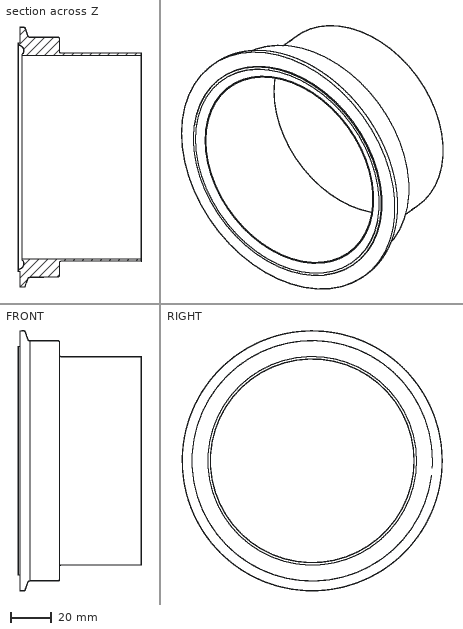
import cadquery as cq

length = 61.5
flange_face = 0.8
flange_rim_end = 3.4
collar_start = 5.1
collar_end = 20.7

flange_radius = 65.0
collar_radius = 60.0
tube_radius = 52.1
bore_radius = 50.8
lip_outer_radius = 57.2
groove_outer_radius = 55.9
groove_inner_radius = 51.4

edge_fillet = 0.8
root_fillet = 0.6
flange_root_fillet = 1.2

groove_floor = 2.7
groove_floor_radius = 53.0
bore_rim = 1.8


def ring_corner(body, x, radius, fillet):
    """Round the circular edge at the given axial position and radius."""
    margin = 0.06
    corner = cq.selectors.BoxSelector(
        (x - margin, -radius - margin, -radius - margin),
        (x + margin, radius + margin, radius + margin),
        boundingbox=True,
    )
    largest = cq.selectors.RadiusNthSelector(-1)
    ring = body.edges("%CIRCLE").edges(corner).edges(largest)
    return body.newObject(ring.vals()).fillet(fillet)


def make_ferrule():
    """Revolve the wall section, with the gasket groove in its sealing lip."""
    profile = (
        cq.Workplane("XY")
        .moveTo(bore_rim, bore_radius)
        .lineTo(bore_rim, groove_inner_radius)
        .threePointArc((groove_floor, groove_floor_radius), (0, groove_outer_radius))
        .lineTo(0, lip_outer_radius)
        .lineTo(flange_face, lip_outer_radius)
        .lineTo(flange_face, flange_radius)
        .lineTo(flange_rim_end, flange_radius)
        .lineTo(collar_start, collar_radius)
        .lineTo(collar_end, collar_radius)
        .lineTo(collar_end, tube_radius)
        .lineTo(length, tube_radius)
        .lineTo(length, bore_radius)
        .close()
    )
    return profile.revolve(360, (0, 0, 0), (1, 0, 0))


ferrule = make_ferrule()
ferrule = ring_corner(ferrule, flange_rim_end, flange_radius, edge_fillet)
ferrule = ring_corner(ferrule, collar_start, collar_radius, flange_root_fillet)
ferrule = ring_corner(ferrule, collar_end, collar_radius, edge_fillet)
ferrule = ring_corner(ferrule, collar_end, tube_radius, root_fillet)

result = ferrule